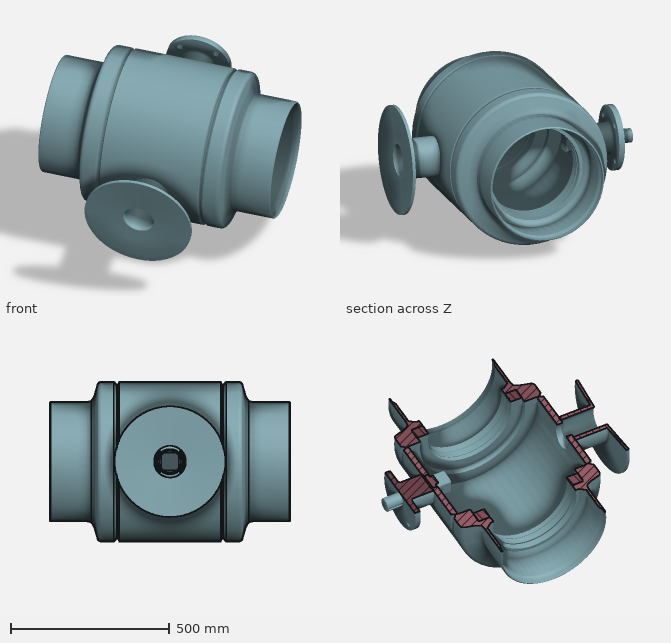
import cadquery as cq
import math


valve_length = 760.0
shell_radius = 253.0
barrel_bore_radius = 231.5
bore_radius = 149.0

joint_x = 166.0
weld_groove_radius = 243.0
barrel_edge_x = 160.0
barrel_groove_x = 164.0
cap_groove_x = 169.0
cap_edge_x = 177.0

shoulder_round_x = 216.0
shoulder_outer = (230.0, 240.0)
shoulder_inner = (238.0, 213.0)
flare_end = (249.5, 191.5)
flare_start_x = 261.0
pipe_radius = 189.0
pipe_edge_chamfer = 3.0
pipe_mouth_radius = 184.0
pipe_bore_radius = 179.0
mouth_depth = 16.0
mouth_taper_length = 13.0
bore_taper_start_x = 265.0
lip_face_x = 251.0
lip_face_radius = 160.0
lip_edge_break = 5.0

seat_outer_radius = 188.0
seat_inner_x = 186.0
seat_outer_x = 225.0
seat_groove_x = 202.5
seat_groove_width = 1.5
seat_groove_depth = 2.0

stem_end_y = 404.0
stem_radius = 23.0
stem_chamfer = 1.5
collar_radius = 40.0
collar_top_y = 247.0
collar_bottom_y = 231.5
shank_radius = 34.5
shank_bottom_y = 220.0
tang_end_y = 180.5
tang_width = 56.0
keyway_width = 12.0
keyway_depth = 5.0
keyway_end_gap = 1.5

seating_y = 251.0

neck_radius = 50.0
flange_bottom_y = 330.0
flange_top_y = 349.0
flange_radius = 105.0
neck_fillet = 8.0
bolt_circle_radius = 83.0
bolt_hole_diameter = 21.0
bolt_count = 4

foot_end_y = stem_end_y - 784.5
foot_tube_radius = 64.0
foot_bore_radius = 50.0
plate_radius = 175.0
plate_rim_thickness = 10.0
plate_slope = 0.076
spotface_radius = 45.5
spotface_half_height = 33.0

end_x = valve_length / 2


def revolve_about_x(outline):
    """Turn a closed (x, radius) outline about the flow axis."""
    return outline.revolve(360, (0, 0, 0), (1, 0, 0))


def revolve_about_y(points):
    """Turn a closed (radius, y) polygon about the stem axis."""
    return cq.Workplane("XY").polyline(points).close().revolve(360, (0, 0, 0), (0, 1, 0))


def cylinder_along_y(radius, start_y, end_y):
    return cq.Workplane("XZ", origin=(0, start_y, 0)).circle(radius).extrude(start_y - end_y)


def make_barrel():
    barrel = revolve_about_x(
        cq.Workplane("XY").polyline([
            (-joint_x, barrel_bore_radius),
            (-joint_x, weld_groove_radius),
            (-barrel_groove_x, weld_groove_radius),
            (-barrel_edge_x, shell_radius),
            (barrel_edge_x, shell_radius),
            (barrel_groove_x, weld_groove_radius),
            (joint_x, weld_groove_radius),
            (joint_x, barrel_bore_radius),
        ]).close()
    )
    barrel = barrel.cut(cylinder_along_y(collar_radius, -shell_radius, shell_radius))
    spotface_y = -math.sqrt(shell_radius**2 - spotface_half_height**2)
    barrel = barrel.cut(cylinder_along_y(spotface_radius, -shell_radius, spotface_y))
    return barrel.cut(make_neck()).cut(make_foot())


def make_right_cap():
    mouth_end_x = end_x - mouth_depth
    outline = (
        cq.Workplane("XY")
        .moveTo(joint_x, seat_outer_radius)
        .lineTo(joint_x, weld_groove_radius)
        .lineTo(cap_groove_x, weld_groove_radius)
        .lineTo(cap_edge_x, shell_radius)
        .lineTo(shoulder_round_x, shell_radius)
        .tangentArcPoint(shoulder_outer, relative=False)
        .lineTo(*shoulder_inner)
        .tangentArcPoint(flare_end, relative=False)
        .lineTo(flare_start_x, pipe_radius)
        .lineTo(end_x - pipe_edge_chamfer, pipe_radius)
        .lineTo(end_x, pipe_radius - pipe_edge_chamfer)
        .lineTo(end_x, pipe_mouth_radius)
        .lineTo(mouth_end_x, pipe_mouth_radius)
        .lineTo(mouth_end_x - mouth_taper_length, pipe_bore_radius)
        .lineTo(bore_taper_start_x, pipe_bore_radius)
        .lineTo(lip_face_x, lip_face_radius)
        .lineTo(lip_face_x, bore_radius)
        .lineTo(seat_outer_x + lip_edge_break, bore_radius)
        .lineTo(seat_outer_x, bore_radius + lip_edge_break)
        .lineTo(seat_outer_x, seat_outer_radius)
        .close()
    )
    return revolve_about_x(outline)


def make_right_seat():
    groove_start_x = seat_groove_x - seat_groove_width / 2
    groove_end_x = seat_groove_x + seat_groove_width / 2
    groove_radius = bore_radius + seat_groove_depth
    return revolve_about_x(
        cq.Workplane("XY").polyline([
            (seat_inner_x, bore_radius),
            (groove_start_x, bore_radius),
            (groove_start_x, groove_radius),
            (groove_end_x, groove_radius),
            (groove_end_x, bore_radius),
            (seat_outer_x, bore_radius),
            (seat_outer_x, seat_outer_radius),
            (seat_inner_x, seat_outer_radius),
        ]).close()
    )


def make_stem():
    stem = revolve_about_y([
        (0, shank_bottom_y),
        (shank_radius, shank_bottom_y),
        (shank_radius, collar_bottom_y),
        (collar_radius, collar_bottom_y),
        (collar_radius, collar_top_y),
        (stem_radius, collar_top_y),
        (stem_radius, stem_end_y - stem_chamfer),
        (stem_radius - stem_chamfer, stem_end_y),
        (0, stem_end_y),
    ])
    square = (
        cq.Workplane("XZ", origin=(0, shank_bottom_y, 0))
        .rect(tang_width, tang_width)
        .extrude(shank_bottom_y - tang_end_y)
    )
    tang = square.intersect(cylinder_along_y(shank_radius, shank_bottom_y, tang_end_y))
    keyway_top_y = stem_end_y - keyway_end_gap
    keyway = (
        cq.Workplane("YZ", origin=(-stem_radius, (keyway_top_y + flange_top_y) / 2, 0))
        .slot2D(keyway_top_y - flange_top_y, keyway_width)
        .extrude(keyway_depth)
    )
    return stem.union(tang).cut(keyway)


def make_neck():
    neck = cylinder_along_y(neck_radius, seating_y, flange_bottom_y)
    neck = neck.union(cylinder_along_y(flange_radius, flange_bottom_y, flange_top_y))
    inner_corner = cq.selectors.BoxSelector(
        (-neck_radius - 8, flange_bottom_y - neck_fillet, -neck_radius - 8),
        (neck_radius + 8, flange_bottom_y + neck_fillet, neck_radius + 8),
        boundingbox=True,
    )
    neck = neck.edges(inner_corner).fillet(neck_fillet)
    bolt_holes = (
        cq.Workplane("XZ", origin=(0, flange_bottom_y, 0))
        .polarArray(bolt_circle_radius, 45, 360, bolt_count)
        .circle(bolt_hole_diameter / 2)
        .extrude(flange_bottom_y - flange_top_y)
    )
    stem_hole = cylinder_along_y(stem_radius, seating_y, flange_top_y)
    return neck.cut(bolt_holes).cut(stem_hole)


def make_foot():
    rim_back_y = foot_end_y + plate_rim_thickness
    tube_rise = plate_slope * (plate_radius - foot_tube_radius)
    bore_rise = plate_slope * (plate_radius - foot_bore_radius)
    return revolve_about_y([
        (foot_bore_radius, -seating_y),
        (foot_tube_radius, -seating_y),
        (foot_tube_radius, rim_back_y + tube_rise),
        (plate_radius, rim_back_y),
        (plate_radius, foot_end_y),
        (foot_bore_radius, foot_end_y + bore_rise),
    ])


barrel = make_barrel()
stem = make_stem()
neck = make_neck()
foot = make_foot()

end_bodies = []
for turn in (0, 180):
    for make_end_body in (make_right_cap, make_right_seat):
        end_body = make_end_body().rotate((0, 0, 0), (0, 0, 1), turn)
        end_bodies.append(end_body.val())

result = cq.Compound.makeCompound([barrel.val(), stem.val(), neck.val(), foot.val(), *end_bodies])